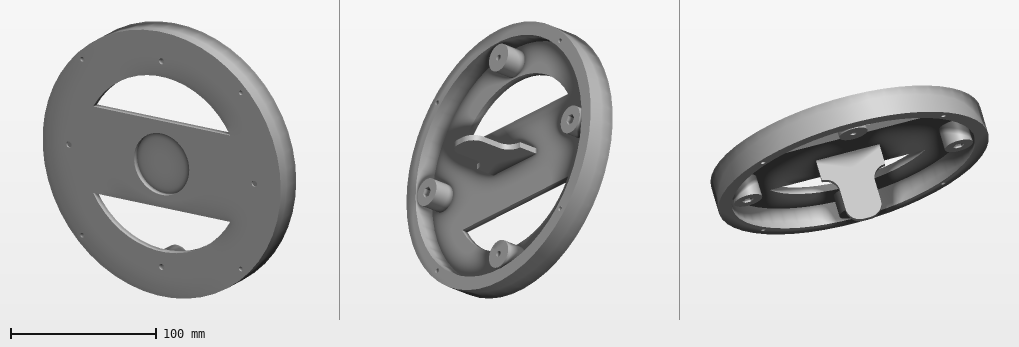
import cadquery as cq
import math

disc_radius = 96.6
disc_depth = 20.0
plate_thickness = 5.0
rim_inner_radius = 87

window_radius = 64.0
crossbar_width = 63.2

recess_radius = 22.5
recess_depth = 4.0

axis_hole_circle_radius = 75.2
boss_radius = 10.0
axis_hole_diameter = 4.3
nut_seat_y = 1.2
nut_across_flats = 7.0

rim_hole_circle_radius = 91.0
rim_hole_diameter = 3.3

tab_thickness = 4.0
tab_tip_y = 55.0
tab_width = 25.1
tab_corner_radius = 10.0


def disc_from(y_start, radius, length):
    """Solid cylinder along +Y, starting at y_start."""
    plane = cq.Workplane("XZ", origin=(0, y_start, 0))
    return plane.circle(radius).extrude(-length)


def four_cylinders(y_start, circle_radius, start_angle, radius, length):
    """Four cylinders along +Y, evenly spaced on a circle about the disc axis."""
    plane = cq.Workplane("XZ", origin=(0, y_start, 0))
    spots = plane.polarArray(circle_radius, start_angle, 360, 4)
    return spots.circle(radius).extrude(-length)


def make_windows():
    """Disc segments above and below the crossbar."""
    opening = disc_from(0, window_radius, plate_thickness)
    crossbar = cq.Workplane("XY").box(2 * disc_radius, 2 * plate_thickness, crossbar_width)
    return opening.cut(crossbar)


def make_nut_pockets():
    """Hexagonal pockets with flats facing up and down, open at the back of the left and right bosses."""
    across_corners = nut_across_flats / math.cos(math.radians(30))
    plane = cq.Workplane("XZ", origin=(0, nut_seat_y, 0))
    spots = plane.pushPoints([(-axis_hole_circle_radius, 0), (axis_hole_circle_radius, 0)])
    return spots.polygon(6, across_corners).extrude(-(disc_depth - nut_seat_y))


def make_tab():
    """Tab with a rounded tip and concave flares where it meets its wider foot."""
    half_width = tab_width / 2
    foot_half_width = half_width + tab_corner_radius
    tip_half_flat = half_width - tab_corner_radius
    tip_arc_y = tab_tip_y - tab_corner_radius
    flare_top_y = disc_depth + tab_corner_radius
    arc_mid_offset = tab_corner_radius * math.sqrt(0.5)
    flare_middle = (foot_half_width - arc_mid_offset, flare_top_y - arc_mid_offset)
    tip_middle = (tip_half_flat + arc_mid_offset, tip_arc_y + arc_mid_offset)

    right_half = (
        cq.Workplane("XY")
        .moveTo(0, plate_thickness)
        .lineTo(foot_half_width, plate_thickness)
        .lineTo(foot_half_width, disc_depth)
        .threePointArc(flare_middle, (half_width, flare_top_y))
        .lineTo(half_width, tip_arc_y)
        .threePointArc(tip_middle, (tip_half_flat, tab_tip_y))
        .lineTo(0, tab_tip_y)
    )
    return right_half.mirrorY().extrude(tab_thickness / 2, both=True)


cavity_depth = disc_depth - plate_thickness
body = disc_from(0, disc_radius, disc_depth)
body = body.cut(disc_from(plate_thickness, rim_inner_radius, cavity_depth))

body = body.union(four_cylinders(plate_thickness, axis_hole_circle_radius, 0, boss_radius, cavity_depth))
body = body.union(make_tab())

body = body.cut(make_windows())
body = body.cut(disc_from(0, recess_radius, recess_depth))
body = body.cut(four_cylinders(0, axis_hole_circle_radius, 0, axis_hole_diameter / 2, disc_depth))
body = body.cut(four_cylinders(0, rim_hole_circle_radius, 45, rim_hole_diameter / 2, disc_depth))
body = body.cut(make_nut_pockets())

result = body